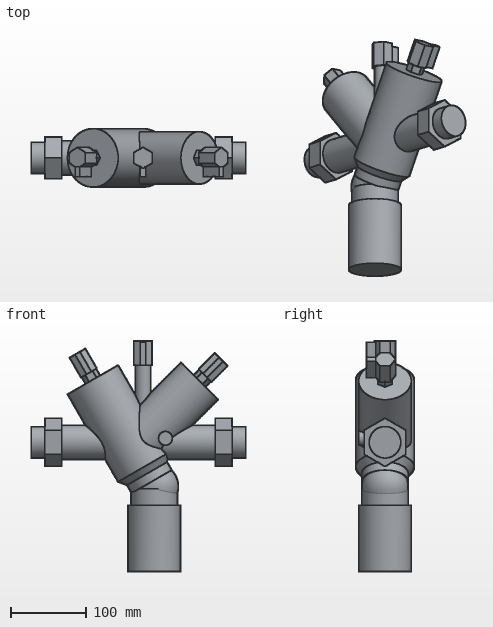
import cadquery as cq
import math


pipe_radius = 22.9
overall_length = 286.0
tail_radius = 21.0
tail_length = 18.5
nut_width = 22.6
nut_across_flats = 55.7
nut_outer_x = overall_length / 2 - tail_length
nut_inner_x = nut_outer_x - nut_width

main_tilt = 30.0
main_axis_x = -12.7
main_radius = 39.0
main_top = 96.2
main_bottom = -38.3
taper_length = 9.8

side_tilt = 45.0
side_axis_x = -0.3
side_radius = 35.0
side_top = 115.3

drain_radius = 31.0
neck_end = -60.4
joint_x = 22.2
joint_z = -58.9
drain_x = 20.9
spigot_top_z = -62.1
sleeve_radius = 35.0
sleeve_top_z = -83.6
sleeve_bottom_z = -172.2

bleed_x = 5.9
bleed_stem_radius = 10.4
bleed_grip_bottom_z = 102.8

plug_x = 35.8
plug_z = 5.3
plug_radius = 9.2
plug_front_y = -35.0

grip_across_flats = 24.5
barrel_grip_length = 30.6
bleed_grip_length = 32.0
stem_across_flats = 19.6
stem_length = 10.3
stem_embed = 5.0
tab_width = 7.4
tab_length = barrel_grip_length
tab_front_y = -24.8


def hex_diameter(across_flats):
    """Corner-to-corner diameter of a hexagon."""
    return across_flats * 2 / math.sqrt(3)


def tilted_plane(origin_x, tilt):
    """Plane on the pipe axis whose normal leans from +Z toward +X and whose local Y is global Y."""
    angle = math.radians(tilt)
    normal = (math.sin(angle), 0, math.cos(angle))
    across = (math.cos(angle), 0, -math.sin(angle))
    return cq.Plane(origin=(origin_x, 0, 0), xDir=across, normal=normal)


main_plane = tilted_plane(main_axis_x, -main_tilt)
side_plane = tilted_plane(side_axis_x, side_tilt)
bleed_plane = tilted_plane(bleed_x, 0)


def rod(plane, radius, bottom, top):
    """Cylinder along the normal of a plane."""
    return cq.Workplane(plane).workplane(offset=bottom).circle(radius).extrude(top - bottom)


def hex_bar(plane, across_flats, bottom, top, turn):
    """Hexagonal bar along the normal of a plane; turn = 0 puts corners on the local X axis."""
    turned = plane.rotated((0, 0, turn))
    section = cq.Workplane(turned).workplane(offset=bottom).polygon(6, hex_diameter(across_flats))
    return section.extrude(top - bottom)


def make_pipe():
    pipe_plane = cq.Plane.YZ()
    pipe = rod(pipe_plane, tail_radius, -overall_length / 2, overall_length / 2)
    pipe = pipe.union(rod(pipe_plane, pipe_radius, -nut_inner_x, nut_inner_x))
    for nut_start in (-nut_outer_x, nut_inner_x):
        nut = hex_bar(pipe_plane, nut_across_flats, nut_start, nut_start + nut_width, 90)
        pipe = pipe.union(nut)
    return pipe


def make_main_barrel():
    """Barrel, the taper under it and the drain neck, turned about the tilted axis."""
    taper_bottom = main_bottom - taper_length
    half_profile = [
        (0, main_top),
        (main_radius, main_top),
        (main_radius, main_bottom),
        (drain_radius, taper_bottom),
        (drain_radius, neck_end),
        (0, neck_end),
    ]
    profile_plane = cq.Plane(
        origin=main_plane.origin.toTuple(),
        xDir=main_plane.xDir.toTuple(),
        normal=(-main_plane.yDir).toTuple(),
    )
    return cq.Workplane(profile_plane).polyline(half_profile).close().revolve(360, (0, 0), (0, 1))


def make_drain():
    """Ball that turns the neck downward, then the spigot and the sleeve."""
    ball = cq.Workplane("XY").sphere(drain_radius).translate((joint_x, 0, joint_z))
    drain_plane = tilted_plane(drain_x, 0)
    spigot = rod(drain_plane, drain_radius, sleeve_top_z, spigot_top_z)
    sleeve = rod(drain_plane, sleeve_radius, sleeve_bottom_z, sleeve_top_z)
    return ball.union(spigot).union(sleeve)


def make_plug():
    start = cq.Workplane("XZ").center(plug_x, plug_z).circle(plug_radius)
    return start.extrude(-plug_front_y)


def make_barrel_spindle(plane, barrel_top):
    """Hexagonal stem and grip standing on the end of a barrel."""
    grip_bottom = barrel_top + stem_length
    stem = hex_bar(plane, stem_across_flats, barrel_top - stem_embed, grip_bottom, 0)
    grip = hex_bar(plane, grip_across_flats, grip_bottom, grip_bottom + barrel_grip_length, 90)
    return stem.union(grip)


def make_bleed_cock():
    stem = rod(bleed_plane, bleed_stem_radius, 0, bleed_grip_bottom_z)
    grip_top = bleed_grip_bottom_z + bleed_grip_length
    grip = hex_bar(bleed_plane, grip_across_flats, bleed_grip_bottom_z, grip_top, 90)
    return stem.union(grip)


def make_tab(plane, grip_bottom):
    """Flat tab seated across the front corner of a grip, from flank to flank."""
    seat_y = -(hex_diameter(grip_across_flats) - tab_width / math.sqrt(3)) / 2
    section = cq.Workplane(plane).workplane(offset=grip_bottom).center(0, (seat_y + tab_front_y) / 2)
    return section.rect(tab_width, seat_y - tab_front_y).extrude(tab_length)


tab_seats = [
    (main_plane, main_top + stem_length),
    (bleed_plane, bleed_grip_bottom_z),
    (side_plane, side_top + stem_length),
]
tabs = [make_tab(plane, grip_bottom) for plane, grip_bottom in tab_seats]

housing = make_main_barrel().union(make_pipe())
housing = housing.union(rod(side_plane, side_radius, 0, side_top))
housing = housing.union(make_drain()).union(make_plug()).union(make_bleed_cock())
for spindle_plane, barrel_end in ((main_plane, main_top), (side_plane, side_top)):
    housing = housing.union(make_barrel_spindle(spindle_plane, barrel_end))
for tab in tabs:
    housing = housing.cut(tab)

result = cq.Compound.makeCompound([housing.val(), *[tab.val() for tab in tabs]])